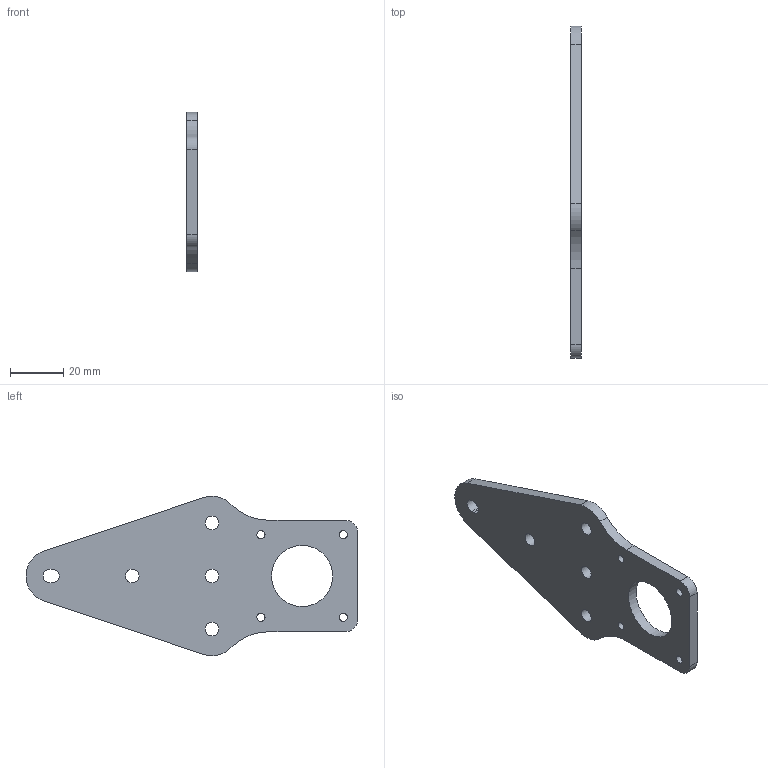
import cadquery as cq
import math


thickness = 4.0

lobe_radius = 10.0
tip_y = 60.0
shoulder_z = 20.0

motor_y = -33.93
pad_size = 42.0
pad_corner_radius = 5.0
blend_radius = 20.0

bolt_hole_diameter = 5.1
arm_hole_y = tip_y / 2
slot_travel = 1.0
motor_bore_diameter = 23.0
motor_screw_diameter = 3.05
motor_screw_spacing = 31.0

pad_half = pad_size / 2
pad_end_y = motor_y - pad_half

flank_length = math.hypot(tip_y, shoulder_z)
normal_y = shoulder_z / flank_length
normal_z = tip_y / flank_length

blend_center_z = pad_half + blend_radius
blend_rise = blend_center_z - shoulder_z
center_distance = lobe_radius + blend_radius
blend_center_y = -math.sqrt(center_distance**2 - blend_rise**2)
blend_start_y = blend_center_y * lobe_radius / center_distance
blend_start_z = shoulder_z + blend_rise * lobe_radius / center_distance
blend_start_angle = math.atan2(blend_start_z - blend_center_z, blend_start_y - blend_center_y)
blend_mid_angle = (blend_start_angle - math.pi / 2) / 2


def make_plate():
    """Extrude the outline, with the pad's outer corners rounded."""
    flank_tip = (tip_y + lobe_radius * normal_y, lobe_radius * normal_z)
    flank_shoulder = (lobe_radius * normal_y, shoulder_z + lobe_radius * normal_z)
    shoulder_top = (0, shoulder_z + lobe_radius)
    blend_start = (blend_start_y, blend_start_z)
    blend_middle = (
        blend_center_y + blend_radius * math.cos(blend_mid_angle),
        blend_center_z + blend_radius * math.sin(blend_mid_angle),
    )
    blend_end = (blend_center_y, pad_half)

    def mirrored(point):
        return (point[0], -point[1])

    return (
        cq.Workplane("YZ")
        .moveTo(*flank_tip)
        .lineTo(*flank_shoulder)
        .threePointArc(shoulder_top, blend_start)
        .threePointArc(blend_middle, blend_end)
        .lineTo(pad_end_y, pad_half)
        .lineTo(pad_end_y, -pad_half)
        .lineTo(*mirrored(blend_end))
        .threePointArc(mirrored(blend_middle), mirrored(blend_start))
        .threePointArc(mirrored(shoulder_top), mirrored(flank_shoulder))
        .lineTo(*mirrored(flank_tip))
        .threePointArc((tip_y + lobe_radius, 0), flank_tip)
        .close()
        .extrude(thickness)
        .edges("|X and <Y")
        .fillet(pad_corner_radius)
    )


def hole_cutter(diameter, centers):
    """Cylinders through the plate at the given (Y, Z) centres."""
    return cq.Workplane("YZ").pushPoints(centers).circle(diameter / 2).extrude(thickness)


def tip_slot_cutter():
    """Short slot along Y, starting at the tip arc's centre."""
    return (
        cq.Workplane("YZ")
        .center(tip_y + slot_travel / 2, 0)
        .slot2D(slot_travel + bolt_hole_diameter, bolt_hole_diameter)
        .extrude(thickness)
    )


bolt_centers = [(arm_hole_y, 0), (0, 0), (0, shoulder_z), (0, -shoulder_z)]
screw_offset = motor_screw_spacing / 2
screw_centers = [
    (motor_y + side_y * screw_offset, side_z * screw_offset)
    for side_y in (-1, 1)
    for side_z in (-1, 1)
]

result = (
    make_plate()
    .cut(hole_cutter(bolt_hole_diameter, bolt_centers))
    .cut(tip_slot_cutter())
    .cut(hole_cutter(motor_bore_diameter, [(motor_y, 0)]))
    .cut(hole_cutter(motor_screw_diameter, screw_centers))
)